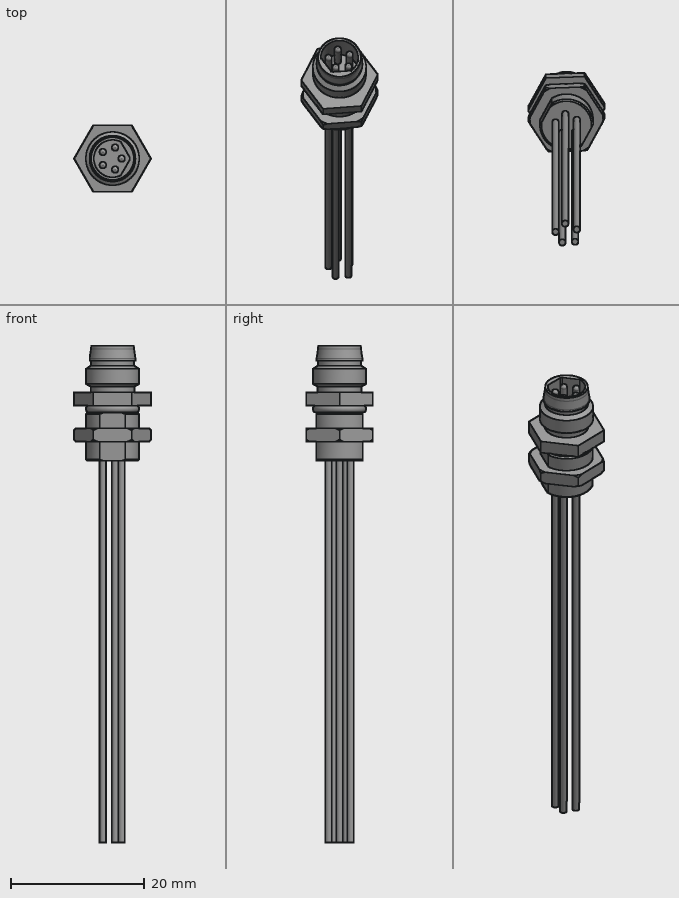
import math
import cadquery as cq


total_length = 74.5
housing_length = 17.3

rim_diameter = 6.4
nose_diameter = 6.5
ridge_diameter = 6.9
rim_taper_length = 0.5
ridge_cone_end = 1.9
ridge_end = 2.3
groove_end = 3.0

body_diameter = 8.0
collar_start = 3.5
collar_end = 5.75
neck_diameter = 6.6
neck_start = 6.15

nut_sides = 6
nut_across_flats = 10.0
nut_thickness = 2.0
upper_nut_top = 7.0
lower_nut_top = 12.4
nut_bevel_diameter = 10.95
nut_bevel_angle = 45.0

seal_thickness = 1.0
seal_bulge = 0.25
barrel_gap = 0.05

barrel_across_flats = 7.0
barrel_chamfer = 0.25

cavity_diameter = 5.6
cavity_depth = 5.0
key_flat_distance = 2.33
key_flat_angle = 30.0
key_tip_distance = 2.6

contact_positions = [(1.36, 0), (0.38, 1.65), (0.38, -1.65), (-1.45, 0.98), (-1.45, -0.98)]
pin_diameter = 1.0
pin_tip_depth = 0.45
pin_tip_rounding = 0.45
wire_diameter = 1.0
embed_length = 1.0

nut_across_corners = nut_across_flats / math.cos(math.pi / nut_sides)
upper_nut_bottom = upper_nut_top + nut_thickness
seal_bottom = upper_nut_bottom + seal_thickness
barrel_start = seal_bottom + barrel_gap


def cylinder(diameter, top_depth, bottom_depth):
    """Axial cylinder between two depths below the mating rim."""
    return (
        cq.Workplane("XY")
        .workplane(offset=-bottom_depth)
        .circle(diameter / 2)
        .extrude(bottom_depth - top_depth)
    )


def make_front_body():
    """Revolved nose, snap ridge, collar and neck, down to the rear barrel."""
    nose_radius = nose_diameter / 2
    ridge_radius = ridge_diameter / 2
    body_radius = body_diameter / 2
    neck_radius = neck_diameter / 2
    profile = [
        (0, 0),
        (rim_diameter / 2, 0),
        (nose_radius, -rim_taper_length),
        (ridge_radius, -ridge_cone_end),
        (ridge_radius, -ridge_end),
        (nose_radius, -ridge_end),
        (nose_radius, -groove_end),
        (body_radius, -collar_start),
        (body_radius, -collar_end),
        (neck_radius, -neck_start),
        (neck_radius, -barrel_start),
        (0, -barrel_start),
    ]
    return cq.Workplane("XZ").polyline(profile).close().revolve(360, (0, 0, 0), (0, 1, 0))


def make_barrel():
    """Rear barrel, chamfered at both ends and cut by two wrench flats."""
    length = housing_length - barrel_start
    barrel = cylinder(body_diameter, barrel_start, housing_length).edges().chamfer(barrel_chamfer)
    flats = (
        cq.Workplane("XY")
        .workplane(offset=-housing_length)
        .rect(body_diameter, barrel_across_flats)
        .extrude(length)
    )
    return barrel.intersect(flats)


def make_seal():
    """Squeezed sealing ring whose rim bulges out to the body diameter."""
    bulge_radius = body_diameter / 2
    edge_radius = bulge_radius - seal_bulge
    middle = (upper_nut_bottom + seal_bottom) / 2
    return (
        cq.Workplane("XZ")
        .moveTo(0, -upper_nut_bottom)
        .lineTo(edge_radius, -upper_nut_bottom)
        .threePointArc((bulge_radius, -middle), (edge_radius, -seal_bottom))
        .lineTo(0, -seal_bottom)
        .close()
        .revolve(360, (0, 0, 0), (0, 1, 0))
    )


def make_nut(top_depth):
    """Plain hex nut with corners on the X axis."""
    return (
        cq.Workplane("XY")
        .workplane(offset=-(top_depth + nut_thickness))
        .polygon(nut_sides, nut_across_corners)
        .extrude(nut_thickness)
    )


def make_bevelled_nut(top_depth):
    """Hex nut with its corners turned down conically on both faces."""
    bevel_width = (nut_across_corners - nut_bevel_diameter) / 2
    bevel_height = bevel_width * math.tan(math.radians(nut_bevel_angle))
    envelope = (
        cylinder(nut_across_corners, top_depth, top_depth + nut_thickness)
        .edges()
        .chamfer(bevel_height, bevel_width)
    )
    return make_nut(top_depth).intersect(envelope)


def make_cavity():
    """Round mating cavity narrowed by two slanted key flats and a blunt tip."""
    cavity = cylinder(cavity_diameter, 0, cavity_depth)
    key_planes = [
        (key_flat_angle, key_flat_distance),
        (-key_flat_angle, key_flat_distance),
        (0, key_tip_distance),
    ]
    for angle, distance in key_planes:
        keep = (
            cq.Workplane("XY")
            .workplane(offset=-cavity_depth)
            .center(distance - cavity_diameter / 2, 0)
            .rect(cavity_diameter, 2 * cavity_diameter)
            .extrude(cavity_depth)
            .rotate((0, 0, 0), (0, 0, 1), angle)
        )
        cavity = cavity.intersect(keep)
    return cavity


def make_pin(x, y):
    """Contact pin standing on the cavity floor, with a rounded tip."""
    pin = cylinder(pin_diameter, pin_tip_depth, cavity_depth + embed_length)
    return pin.faces(">Z").edges().fillet(pin_tip_rounding).translate((x, y, 0))


def make_wire(x, y):
    """Straight wire leaving the rear face of the barrel."""
    return cylinder(wire_diameter, housing_length - embed_length, total_length).translate((x, y, 0))


result = make_front_body().cut(make_cavity())
result = result.union(make_seal()).union(make_barrel())
result = result.union(make_nut(upper_nut_top)).union(make_bevelled_nut(lower_nut_top))
for x, y in contact_positions:
    result = result.union(make_pin(x, y)).union(make_wire(x, y))